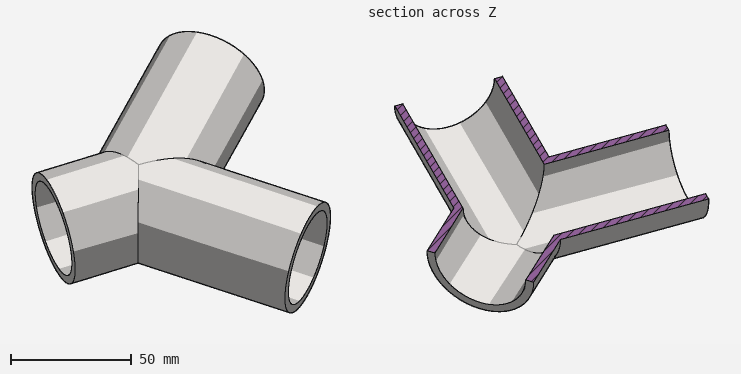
import cadquery as cq
import math

overall_width = 141.9
overall_depth = 109.0
outer_diameter = 48.2
bore_diameter = 40.9
branch_angle = 45.0

angle = math.radians(branch_angle)
outer_radius = outer_diameter / 2
branch_length = (overall_width / 2 - outer_radius * math.cos(angle)) / math.sin(angle)
branch_reach = branch_length * math.cos(angle) + outer_radius * math.sin(angle)
stem_length = overall_depth - branch_reach

branch_x = math.sin(angle)
branch_y = math.cos(angle)

legs = [
    (stem_length, cq.Vector(0, -1, 0)),
    (branch_length, cq.Vector(branch_x, branch_y, 0)),
    (branch_length, cq.Vector(-branch_x, branch_y, 0)),
]


def joined_cylinders(diameter):
    """Three cylinders of one diameter that start at the common axis point."""
    body = cq.Workplane("XY")
    for length, direction in legs:
        cylinder = cq.Solid.makeCylinder(diameter / 2, length, cq.Vector(0, 0, 0), direction)
        body = body.add(cylinder)
    return body.combine()


result = joined_cylinders(outer_diameter).cut(joined_cylinders(bore_diameter))